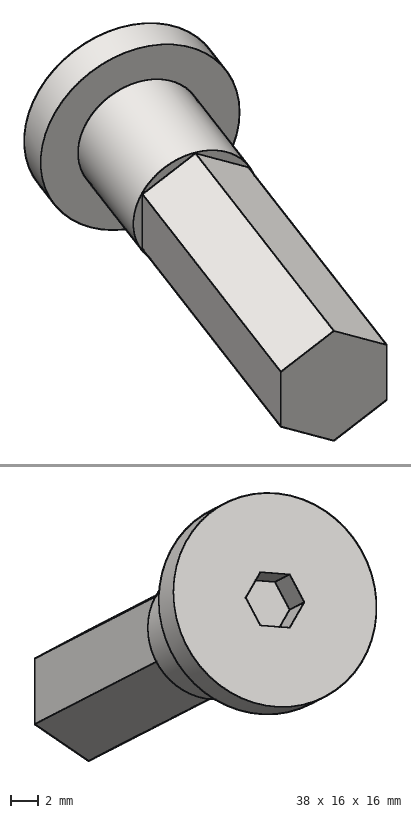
import cadquery as cq
import math

total_length = 38
head_thickness = 3.0
shank_length = 10.0
bar_length = total_length - head_thickness - shank_length

head_diameter = 16.0
shank_diameter = 10.0
bar_across_flats = 8.5
socket_across_flats = 4.0
socket_depth = head_thickness


def corner_diameter(across_flats):
    """Diameter of the circle through the corners of a regular hexagon."""
    return across_flats / math.cos(math.pi / 6)


def cross_section(x):
    """Workplane normal to +X at the given distance from the head's outer face."""
    return cq.Workplane("YZ", origin=(x, 0, 0))


head = cross_section(0).circle(head_diameter / 2).extrude(head_thickness)
shank = cross_section(head_thickness).circle(shank_diameter / 2).extrude(shank_length)

bar = (
    cross_section(head_thickness + shank_length)
    .transformed(rotate=(0, 0, 90))
    .polygon(6, corner_diameter(bar_across_flats))
    .extrude(bar_length)
)

socket = cross_section(0).polygon(6, corner_diameter(socket_across_flats)).extrude(socket_depth)

result = head.union(shank).union(bar).cut(socket)